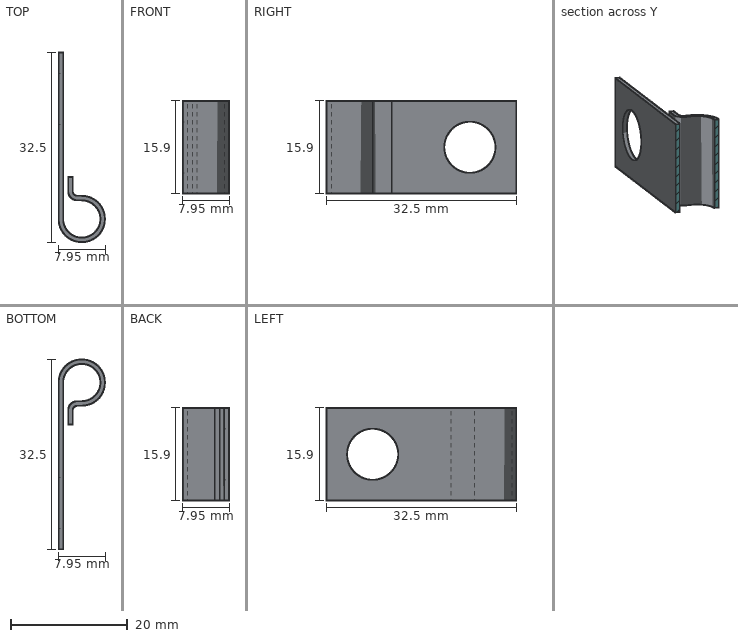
import cadquery as cq
import math

length = 32.55
width = 15.88
thickness = 0.8
loop_inner_diameter = 6.35
hole_diameter = 8.72
hole_from_free_end = width / 2
lip_gap = 0.8
lip_end_height = 11.2
bend_inner_radius = 0.8

loop_inner_radius = loop_inner_diameter / 2
loop_outer_radius = loop_inner_radius + thickness
bend_outer_radius = bend_inner_radius + thickness
plate_outer_x = -loop_outer_radius
plate_inner_x = -loop_inner_radius
plate_end_y = length - loop_outer_radius
lip_outer_x = plate_inner_x + lip_gap
lip_inner_x = lip_outer_x + thickness
lip_end_y = lip_end_height - loop_outer_radius
bend_center_x = lip_outer_x + bend_outer_radius
bend_center_y = loop_outer_radius + bend_inner_radius
diagonal = math.sqrt(0.5)


def on_loop(radius):
    """Middle point of the three-quarter loop arc."""
    return (radius * diagonal, -radius * diagonal)


def on_bend(radius):
    """Middle point of the quarter-turn bend below the lip."""
    return (bend_center_x - radius * diagonal, bend_center_y - radius * diagonal)


def make_strip():
    """Plate, loop and lip as one bent strip."""
    return (
        cq.Workplane("XY")
        .moveTo(plate_outer_x, plate_end_y)
        .lineTo(plate_outer_x, 0)
        .threePointArc(on_loop(loop_outer_radius), (0, loop_outer_radius))
        .lineTo(bend_center_x, loop_outer_radius)
        .threePointArc(on_bend(bend_inner_radius), (lip_inner_x, bend_center_y))
        .lineTo(lip_inner_x, lip_end_y)
        .lineTo(lip_outer_x, lip_end_y)
        .lineTo(lip_outer_x, bend_center_y)
        .threePointArc(on_bend(bend_outer_radius), (bend_center_x, loop_inner_radius))
        .lineTo(0, loop_inner_radius)
        .threePointArc(on_loop(loop_inner_radius), (plate_inner_x, 0))
        .lineTo(plate_inner_x, plate_end_y)
        .close()
        .extrude(width / 2, both=True)
    )


def make_hole():
    """Round cutter through the plate only, clear of the loop and lip."""
    return (
        cq.Workplane("YZ", origin=(plate_outer_x, 0, 0))
        .center(plate_end_y - hole_from_free_end, 0)
        .circle(hole_diameter / 2)
        .extrude(thickness)
    )


result = make_strip().cut(make_hole())